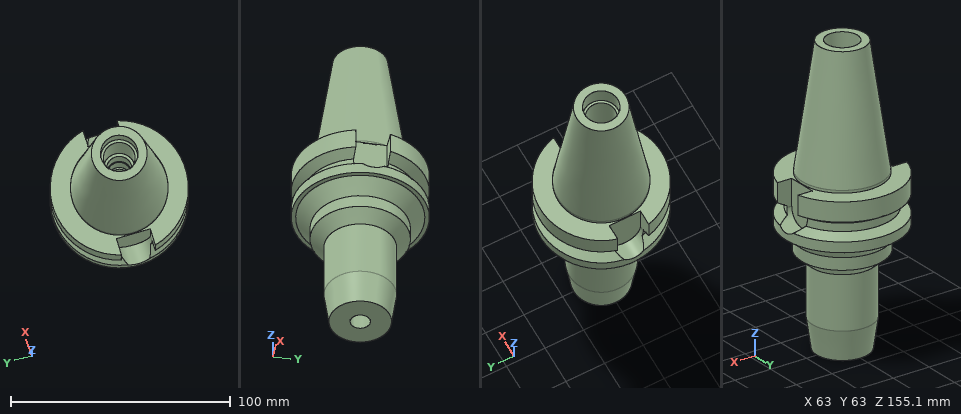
import cadquery as cq
import math


gauge_radius = 44.45 / 2
taper_ratio = 7 / 24
taper_length = 65.4
taper_top_radius = gauge_radius - taper_length * taper_ratio / 2

flange_radius = 63.0 / 2
flange_top = -1.4
flange_bottom = -27.0
groove_floor_radius = 53.0 / 2
groove_top = -11.6
groove_bottom = -21.6
groove_side_angle = 30

flange_cone_radius = 29.4
collar_radius = 45.7 / 2
collar_top = -33.6
collar_bottom = -40.0
shank_radius = 33.2 / 2
shank_top = -45.2
shank_bottom = -73.7
nose_radius = 28.6 / 2
nose_bottom = -89.7

slot_width = 16.1
slot_floor_distance = 22.5
slot_bottom = -23.4
slot_overrun = 1.0

pull_stud_pilot = (8.5, 8.7)
pull_stud_thread = (7.2, 30.0)
deep_bore = (5.8, 40.0)
lower_bore = (5.4, 50.0)
through_hole_radius = 4.6


def turned_body():
    """Solid of revolution with the outer profile of the holder."""
    groove_depth = flange_radius - groove_floor_radius
    groove_side_height = groove_depth * math.tan(math.radians(groove_side_angle))
    profile = [
        (0, taper_length),
        (taper_top_radius, taper_length),
        (gauge_radius, 0),
        (gauge_radius, flange_top),
        (flange_radius, flange_top),
        (flange_radius, groove_top),
        (groove_floor_radius, groove_top - groove_side_height),
        (groove_floor_radius, groove_bottom + groove_side_height),
        (flange_radius, groove_bottom),
        (flange_radius, flange_bottom),
        (flange_cone_radius, flange_bottom),
        (collar_radius, collar_top),
        (collar_radius, collar_bottom),
        (shank_radius, shank_top),
        (shank_radius, shank_bottom),
        (nose_radius, nose_bottom),
        (0, nose_bottom),
    ]
    return cq.Workplane("XZ").polyline(profile).close().revolve(360, (0, 0), (0, 1))


def drive_slot(side):
    """Round-ended slot cutter, open at the flange top; side is +1 for +X and -1 for -X."""
    slot_radius = slot_width / 2
    arc_center = slot_bottom + slot_radius
    outline = (
        cq.Workplane("YZ", origin=(side * slot_floor_distance, 0, 0))
        .moveTo(-slot_radius, flange_top)
        .lineTo(-slot_radius, arc_center)
        .threePointArc((0, slot_bottom), (slot_radius, arc_center))
        .lineTo(slot_radius, flange_top)
        .close()
    )
    return outline.extrude(side * (flange_radius - slot_floor_distance + slot_overrun))


def bore(radius, depth):
    """Cylinder going down from the top face."""
    return cq.Workplane("XY", origin=(0, 0, taper_length)).circle(radius).extrude(-depth)


result = turned_body()
for side in (1, -1):
    result = result.cut(drive_slot(side))
for radius, depth in (pull_stud_pilot, pull_stud_thread, deep_bore, lower_bore):
    result = result.cut(bore(radius, depth))
result = result.cut(bore(through_hole_radius, taper_length - nose_bottom))